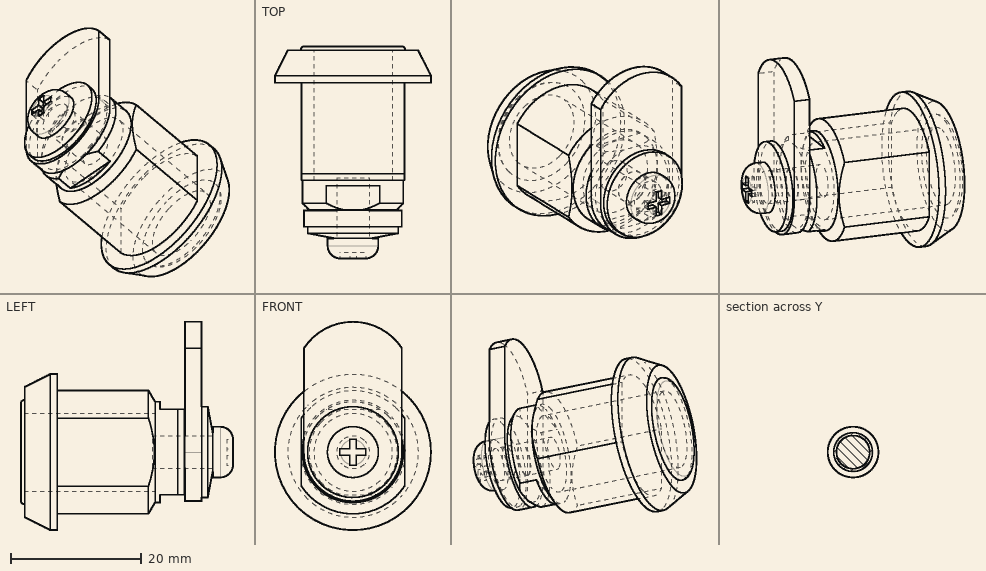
import cadquery as cq
import math


flange_rim_length = 1.08
flange_length = 5.02
face_cap_thickness = 0.6
barrel_length = 15.0
barrel_chamfer_length = 1.0
neck_length = 4.5
neck_collar_length = 0.78
neck_chamfer = 1.0
cam_clearance = 0.1
cam_thickness = 2.55
washer_rim_length = 0.98
washer_cone_length = 0.75
head_length = 3.13

flange_radius = 12.0
flange_front_radius = 10.0
face_cap_radius = 8.02
face_cap_fillet = 0.55
barrel_radius = 9.5
barrel_flat_width = 15.85
neck_radius = 7.75
barrel_end_radius = neck_radius
neck_flat_width = 13.17
spindle_radius = 6.0
washer_radius = 6.98
washer_top_radius = 3.0
head_radius = 3.9
head_fillet = 2.0
shank_radius = 2.5
shank_depth_in_rotor = 4.9

cam_width = 15.05
cam_reach = 20.02
cam_tip_radius = 9.0

recess_length = 4.0
recess_width = 1.0
recess_depth = 1.0

flange_front_y = flange_length
barrel_end_y = -barrel_length
neck_end_y = barrel_end_y - neck_length
cam_front_y = neck_end_y - cam_clearance
cam_back_y = cam_front_y - cam_thickness
washer_rim_y = cam_back_y - washer_rim_length
washer_top_y = washer_rim_y - washer_cone_length
head_top_y = washer_top_y - head_length
shank_end_y = neck_end_y + shank_depth_in_rotor


def turned(profile):
    """Revolve (radius, y) points around the lock axis."""
    return cq.Workplane("XY").polyline(profile).close().revolve(360, (0, 0, 0), (0, 1, 0))


def cylinder(radius, start_y, end_y):
    """Cylinder on the lock axis between two stations."""
    return turned([(0, start_y), (radius, start_y), (radius, end_y), (0, end_y)])


def box_between(width_x, start_y, end_y, width_z):
    """Box centred on the lock axis between two stations."""
    middle_y = (start_y + end_y) / 2
    return cq.Workplane("XY").box(width_x, abs(end_y - start_y), width_z).translate((0, middle_y, 0))


def make_housing():
    """Conical flange and a double-flatted barrel, bored through for the rotor spindle."""
    flange = turned([
        (0, 0),
        (flange_radius, 0),
        (flange_radius, flange_rim_length),
        (flange_front_radius, flange_front_y),
        (0, flange_front_y),
    ])
    chamfer_start_y = barrel_end_y + barrel_chamfer_length
    barrel = turned([
        (0, 0),
        (barrel_radius, 0),
        (barrel_radius, chamfer_start_y),
        (barrel_end_radius, barrel_end_y),
        (0, barrel_end_y),
    ])
    barrel = barrel.intersect(box_between(barrel_flat_width, 0, barrel_end_y, 2 * barrel_radius))
    bore = cylinder(spindle_radius, flange_front_y, barrel_end_y)
    return flange.union(barrel).cut(bore)


def make_face_cap():
    """Disc with a rounded edge on the front of the flange."""
    front_y = flange_front_y + face_cap_thickness
    return cylinder(face_cap_radius, flange_front_y, front_y).faces(">Y").edges().fillet(face_cap_fillet)


def make_rotor():
    """Spindle inside the housing and a chamfered neck with two flats behind it."""
    neck = turned([
        (0, barrel_end_y),
        (neck_radius, barrel_end_y),
        (neck_radius, neck_end_y + neck_chamfer),
        (neck_radius - neck_chamfer, neck_end_y),
        (0, neck_end_y),
    ])
    collar_end_y = barrel_end_y - neck_collar_length
    collar = cylinder(neck_radius, barrel_end_y, collar_end_y)
    flatted_neck = neck.intersect(box_between(2 * neck_radius, barrel_end_y, neck_end_y, neck_flat_width))
    spindle = cylinder(spindle_radius, flange_front_y, barrel_end_y)
    screw_hole = cylinder(shank_radius, shank_end_y, neck_end_y)
    return flatted_neck.union(collar).union(spindle).cut(screw_hole)


def make_cam():
    """Flat tongue, round about the lock axis and with a shallow arc at its tip."""
    half_width = cam_width / 2
    tip_center_z = cam_reach - cam_tip_radius
    shoulder_z = tip_center_z + math.sqrt(cam_tip_radius**2 - half_width**2)
    tongue = (
        cq.Workplane("XZ", origin=(0, cam_front_y, 0))
        .moveTo(-half_width, 0)
        .threePointArc((0, -half_width), (half_width, 0))
        .lineTo(half_width, shoulder_z)
        .threePointArc((0, cam_reach), (-half_width, shoulder_z))
        .close()
        .extrude(cam_thickness)
    )
    return tongue.cut(cylinder(shank_radius, cam_front_y, cam_back_y))


def make_washer():
    """Conical washer between the cam and the screw head."""
    return turned([
        (shank_radius, cam_back_y),
        (washer_radius, cam_back_y),
        (washer_radius, washer_rim_y),
        (washer_top_radius, washer_top_y),
        (shank_radius, washer_top_y),
    ])


def make_screw():
    """Round-edged head with a cross recess, and a shank that reaches into the rotor."""
    head = cylinder(head_radius, washer_top_y, head_top_y).faces("<Y").edges().fillet(head_fillet)
    recess_floor_y = head_top_y + recess_depth
    level_slot = box_between(recess_length, head_top_y, recess_floor_y, recess_width)
    upright_slot = box_between(recess_width, head_top_y, recess_floor_y, recess_length)
    shank = cylinder(shank_radius, shank_end_y, washer_top_y)
    return head.union(shank).cut(level_slot).cut(upright_slot)


housing = make_housing()
face_cap = make_face_cap()
rotor = make_rotor()
cam = make_cam()
washer = make_washer()
screw = make_screw()

result = cq.Compound.makeCompound([
    housing.val(),
    face_cap.val(),
    rotor.val(),
    cam.val(),
    washer.val(),
    screw.val(),
])